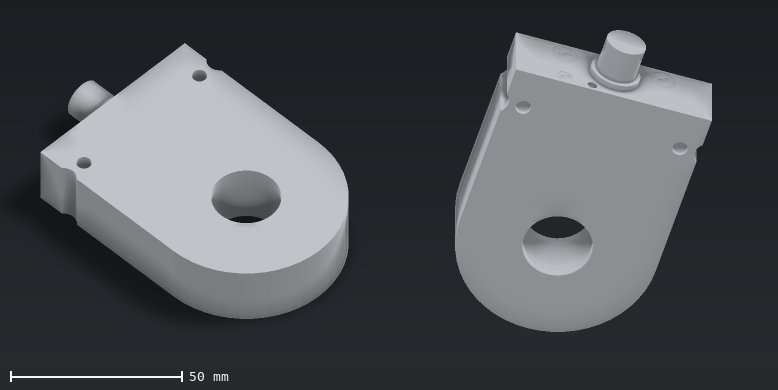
import cadquery as cq

overall_length = 97.5
housing_width = 60.0
housing_height = 20.0
end_radius = housing_width / 2
sensing_bore_diameter = 20.6

connector_length = 12.5
collar_length = 2.0
collar_diameter = 15.0
barrel_diameter = 12.0

mounting_offset = 12.0
mounting_spacing = 48.0
mounting_hole_diameter = 4.5
notch_diameter = 8.0
notch_depth = 1.5

adjuster_recess_depth = 0.1
adjuster_y = 15.0
large_adjuster_diameter = 8.0
large_adjuster_z = 5.0
small_adjuster_diameter = 5.0
small_adjuster_z = -7.0
slot_length = 4.1
slot_width = 1.5
slot_depth = 0.1
slot_angle = 30.0
indicator_diameter = 3.0
indicator_depth = 1.0
indicator_y = 6.5
indicator_z = -7.5

barrel_end_x = -overall_length / 2
face_x = barrel_end_x + connector_length
bore_x = overall_length / 2 - end_radius
mounting_x = face_x + mounting_offset


def face_plane(y, z):
    """Plane on the flat -X face with local x along -Y, local y along +Z and the normal outward."""
    return cq.Plane(origin=(face_x, y, z), xDir=(0, -1, 0), normal=(-1, 0, 0))


def face_disc(diameter, y, z, depth):
    """Cylinder that starts on the flat face and runs into the housing."""
    return cq.Workplane(face_plane(y, z)).circle(diameter / 2).extrude(-depth)


def upright_cylinders(diameter, places):
    """Cylinders along Z through the full housing height."""
    bottom = cq.Workplane("XY").workplane(offset=-housing_height / 2)
    return bottom.pushPoints(places).circle(diameter / 2).extrude(housing_height)


def adjuster_recess(diameter, y, z):
    """Shallow round recess with a tilted screwdriver slot in its floor."""
    slot = (
        cq.Workplane(face_plane(y, z))
        .transformed(rotate=(0, 0, slot_angle))
        .rect(slot_length, slot_width)
        .extrude(-adjuster_recess_depth - slot_depth)
    )
    return face_disc(diameter, y, z, adjuster_recess_depth).union(slot)


def make_housing():
    body = (
        cq.Workplane("XY")
        .workplane(offset=-housing_height / 2)
        .moveTo(face_x, -end_radius)
        .lineTo(bore_x, -end_radius)
        .threePointArc((bore_x + end_radius, 0), (bore_x, end_radius))
        .lineTo(face_x, end_radius)
        .close()
        .extrude(housing_height)
    )
    body = body.cut(upright_cylinders(sensing_bore_diameter, [(bore_x, 0)]))

    notch_y = end_radius + notch_diameter / 2 - notch_depth
    for side in (-1, 1):
        hole_place = (mounting_x, side * mounting_spacing / 2)
        body = body.cut(upright_cylinders(mounting_hole_diameter, [hole_place]))
        body = body.cut(upright_cylinders(notch_diameter, [(mounting_x, side * notch_y)]))

    adjusters = [
        (large_adjuster_diameter, adjuster_y, large_adjuster_z),
        (large_adjuster_diameter, -adjuster_y, large_adjuster_z),
        (small_adjuster_diameter, adjuster_y, small_adjuster_z),
    ]
    for diameter, y, z in adjusters:
        body = body.cut(adjuster_recess(diameter, y, z))
    return body.cut(face_disc(indicator_diameter, indicator_y, indicator_z, indicator_depth))


def make_connector():
    collar = cq.Workplane(face_plane(0, 0)).circle(collar_diameter / 2).extrude(collar_length)
    barrel = cq.Workplane(face_plane(0, 0)).circle(barrel_diameter / 2).extrude(connector_length)
    return collar.union(barrel)


housing = make_housing()
connector = make_connector()
result = cq.Compound.makeCompound([housing.val(), connector.val()])